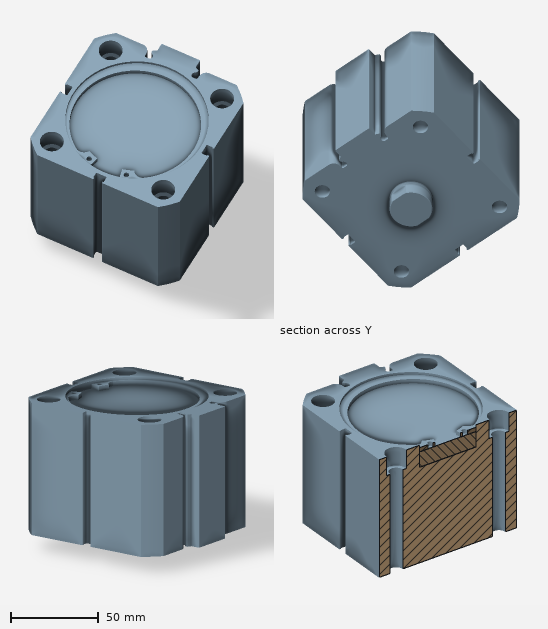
import cadquery as cq
import math


side = 96.5
half_side = side / 2
height = 78.3
corner_radius = 62.0
bolt_offset = 36.0
bolt_hole_dia = 8.8
bolt_head_dia = 13.7
bolt_head_depth = 12.2

slot_depth = 4.9
slot_width = 6.7
slot_fillet = 0.6
mouth_width = 5.5
lip_thickness = 1.1
lip_chamfer = 0.3

overall_depth = 102.0
rail_top = overall_depth - half_side
rail_half_width = 12.4
rail_fillet = 0.4
nose_reach = 14.9
nose_top = 47.1
nose_bottom = 45.9
groove_outer_wall = 17.0
groove_inner_wall = 12.8
groove_floor = 41.2
groove_axis_height = 43.2
groove_neck_x = 14.2
groove_neck_y = 45.0
groove_floor_x = 13.8
groove_corner_chamfer = 0.6
shoulder_radius = 4.6

bore_dia = 82.0
ring_recess = 1.6
ring_thickness = 2.8
ring_inner_radius = 37.6
ring_inner_shift = -2.1
lug_radius = 34.2
lug_start_angle = 13.5
lug_end_angle = 25.2
lug_blend_low_x = 18.4
lug_blend_low_y = -33.6
lug_blend_end_x = 21.2
lug_hole_dia = 3.2
lug_hole_x = 12.0
lug_hole_y = -35.7

cap_thickness = 10.2
cap_top = height - ring_recess - ring_thickness
cap_bottom = cap_top - cap_thickness

rod_dia = 25.0
rod_nose_dia = 24.5
rod_protrusion = 10.2
rod_collar_length = 1.7
rod_end_chamfer = 0.4
flat_distance = 22.0


def cylinder(diameter, bottom, top):
    return cq.Workplane("XY").workplane(offset=bottom).circle(diameter / 2).extrude(top - bottom)


def sensor_slot():
    """Slot with a narrower, chamfered mouth, cut into the -Y side over the full height."""
    half_mouth = mouth_width / 2
    pocket = (
        cq.Workplane("XY")
        .center(0, -half_side + (slot_depth + lip_thickness) / 2)
        .rect(slot_width, slot_depth - lip_thickness)
        .extrude(height)
        .edges("|Z and >Y")
        .fillet(slot_fillet)
    )
    mouth = (
        cq.Workplane("XY")
        .moveTo(-half_mouth - lip_chamfer, -half_side)
        .lineTo(-half_mouth, -half_side + lip_chamfer)
        .lineTo(-half_mouth, -half_side + slot_depth / 2)
        .lineTo(half_mouth, -half_side + slot_depth / 2)
        .lineTo(half_mouth, -half_side + lip_chamfer)
        .lineTo(half_mouth + lip_chamfer, -half_side)
        .close()
        .extrude(height)
    )
    return pocket.union(mouth)


def rail():
    block_height = rail_top - groove_floor
    return (
        cq.Workplane("XY")
        .center(0, rail_top - block_height / 2)
        .rect(2 * rail_half_width, block_height)
        .extrude(height)
        .edges("|Z and >Y")
        .fillet(rail_fillet)
    )


def rail_groove():
    """Undercut groove along the +X flank of the rail."""
    shoulder_x = groove_outer_wall + shoulder_radius
    shoulder_y = half_side - shoulder_radius
    shoulder_mid = shoulder_radius * math.sqrt(0.5)
    return (
        cq.Workplane("XY")
        .moveTo(rail_half_width, half_side)
        .lineTo(nose_reach, nose_top)
        .lineTo(nose_reach, nose_bottom)
        .lineTo(groove_neck_x, groove_neck_y)
        .threePointArc((groove_inner_wall, groove_axis_height), (groove_floor_x, groove_floor))
        .lineTo(groove_outer_wall - groove_corner_chamfer, groove_floor)
        .lineTo(groove_outer_wall, groove_floor + groove_corner_chamfer)
        .lineTo(groove_outer_wall, shoulder_y)
        .threePointArc(
            (shoulder_x - shoulder_mid, shoulder_y + shoulder_mid),
            (shoulder_x, half_side),
        )
        .close()
        .extrude(height)
    )


def make_housing():
    block = cq.Workplane("XY").rect(side, side).extrude(height)
    body = block.intersect(cylinder(2 * corner_radius, 0, height))
    body = body.union(rail())

    groove = rail_groove()
    body = body.cut(groove).cut(groove.mirror("YZ"))
    for angle in (-90, 0, 90):
        body = body.cut(sensor_slot().rotate((0, 0, 0), (0, 0, 1), angle))

    body = (
        body.faces(">Z")
        .workplane(origin=(0, 0, height))
        .rect(2 * bolt_offset, 2 * bolt_offset, forConstruction=True)
        .vertices()
        .cboreHole(bolt_hole_dia, bolt_head_dia, bolt_head_depth)
    )
    body = body.cut(cylinder(bore_dia, cap_bottom, height))
    return body.cut(cylinder(rod_dia, 0, cap_bottom))


def make_end_cap():
    return cylinder(bore_dia, cap_bottom, cap_top)


def lug_point(radius, angle):
    """Point at a radius from the rod axis, at an angle in degrees from -Y towards +X."""
    return (radius * math.sin(math.radians(angle)), -radius * math.cos(math.radians(angle)))


def mirrored(point):
    return (-point[0], point[1])


def make_snap_ring():
    """Open ring with an eccentric inner edge and two drilled lugs at the -Y gap."""
    outer_radius = bore_dia / 2
    gap_outer = lug_point(outer_radius, lug_start_angle)
    lug_tip = lug_point(lug_radius, lug_start_angle)
    lug_mid = lug_point(lug_radius, (lug_start_angle + lug_end_angle) / 2)
    lug_heel = lug_point(lug_radius, lug_end_angle)
    blend_low = (lug_blend_low_x, lug_blend_low_y)
    blend_drop = math.sqrt(ring_inner_radius**2 - lug_blend_end_x**2)
    blend_end = (lug_blend_end_x, ring_inner_shift - blend_drop)
    ring = (
        cq.Workplane("XY")
        .workplane(offset=cap_top)
        .moveTo(*gap_outer)
        .threePointArc((0, outer_radius), mirrored(gap_outer))
        .lineTo(*mirrored(lug_tip))
        .threePointArc(mirrored(lug_mid), mirrored(lug_heel))
        .threePointArc(mirrored(blend_low), mirrored(blend_end))
        .threePointArc((0, ring_inner_shift + ring_inner_radius), blend_end)
        .threePointArc(blend_low, lug_heel)
        .threePointArc(lug_mid, lug_tip)
        .close()
        .extrude(ring_thickness)
    )
    lug_holes = (
        cq.Workplane("XY")
        .workplane(offset=cap_top)
        .pushPoints([(-lug_hole_x, lug_hole_y), (lug_hole_x, lug_hole_y)])
        .circle(lug_hole_dia / 2)
        .extrude(ring_thickness)
    )
    return ring.cut(lug_holes)


def make_rod():
    """Turned rod with a slightly thinner nose that carries two wrench flats."""
    radius = rod_dia / 2
    nose_radius = rod_nose_dia / 2
    nose_start = -rod_collar_length - (radius - nose_radius)
    rod = (
        cq.Workplane("XZ")
        .moveTo(0, cap_bottom)
        .lineTo(radius, cap_bottom)
        .lineTo(radius, -rod_collar_length)
        .lineTo(nose_radius, nose_start)
        .lineTo(nose_radius, -rod_protrusion + rod_end_chamfer)
        .lineTo(nose_radius - rod_end_chamfer, -rod_protrusion)
        .lineTo(0, -rod_protrusion)
        .close()
        .revolve(360, (0, 0, 0), (0, 1, 0))
    )

    flat_y = flat_distance / 2
    flat_top = -rod_collar_length - (radius - flat_y)
    flat_cut = (
        cq.Workplane("YZ")
        .moveTo(radius, -rod_collar_length)
        .lineTo(flat_y, flat_top)
        .lineTo(flat_y, -rod_protrusion)
        .lineTo(radius, -rod_protrusion)
        .close()
        .extrude(radius, both=True)
    )
    return rod.cut(flat_cut).cut(flat_cut.mirror("XZ"))


housing = make_housing()
end_cap = make_end_cap()
snap_ring = make_snap_ring()
rod = make_rod()

result = cq.Compound.makeCompound([housing.val(), end_cap.val(), snap_ring.val(), rod.val()])